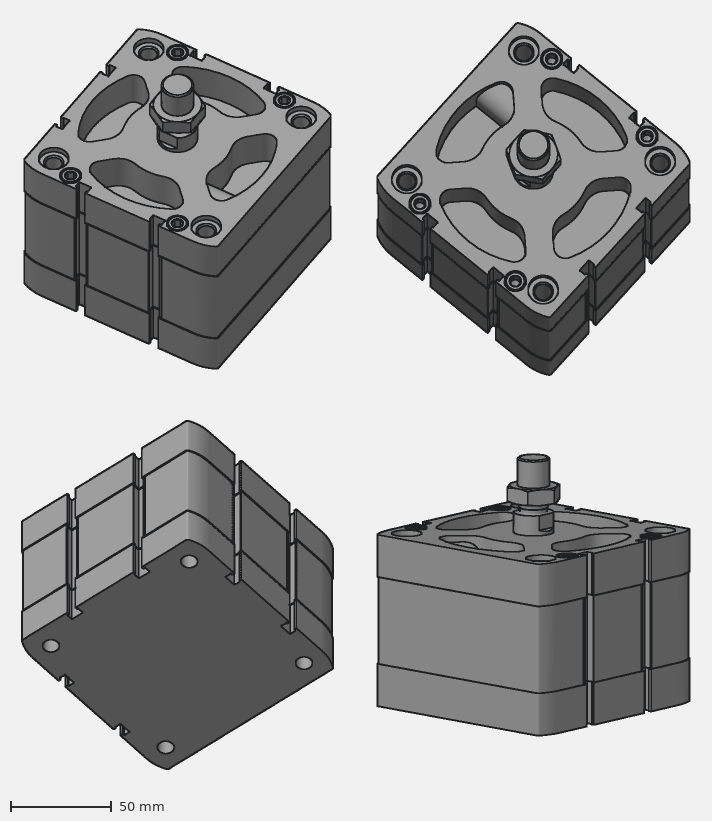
import cadquery as cq
import math

BLOCK_SIDE = 113.5
BLOCK_HEIGHT = 87.0
CAP_HEIGHT = 21.5
BARREL_INSET = 0.5
CORNER_RADIUS = 25.0
CORNER_REACH = 12.5
CORNER_EDGE_FILLET = 1.5

SLOT_NECK_INNER = 18.7
SLOT_NECK_OUTER = 24.0
SLOT_INNER = 18.1
SLOT_OUTER = 25.1
SLOT_LIP = 1.5
SLOT_DEPTH = 5.0
SLOT_OVERSHOOT = 1.2
SLOTTED_SIDES = (0, 180, 270)

POCKET_OUTER_RADIUS = 49.4
POCKET_INNER_RADIUS = 27.7
POCKET_DEPTH = 19.3
WEB_WIDTH = 14.0
POCKET_OUTER_FILLET = 5.7
POCKET_INNER_FILLET = 11.0

BOSS_RADIUS = 8.0
BOSS_Y = -20.1
BOSS_TOP_DEPTH = 3.2

HOLE_SPACING = 89.1
HOLE_DIAMETER = 8.4
HOLE_MOUTH_DIAMETER = 10.0
COUNTERBORE_DIAMETER = 15.0
COUNTERBORE_DEPTH = 3.0

SCREW_SPACING_X = 62.4
SCREW_SPACING_Y = 100.3
SCREW_RECESS_DIAMETER = 10.7
SCREW_HEAD_DIAMETER = 10.0
SCREW_HEAD_CHAMFER = 0.5
SCREW_RECESS_DEPTH = 6.0
SOCKET_FLATS = 5.0
SOCKET_MOUTH_DIAMETER = 5.9
SOCKET_DEPTH = 5.0
SOCKET_TIP_DEPTH = 1.2

ROD_DIAMETER = 20.0
ROD_SHOULDER_Z = 97.1
ROD_TOP_Z = 124.8
NECK_DIAMETER = 13.5
NECK_TOP_Z = 99.5
NECK_FILLET = 0.5
THREAD_DIAMETER = 16.0
THREAD_ROOT_DIAMETER = 14.4
THREAD_CHAMFER_HEIGHT = 0.7
WRENCH_FLATS = 17.0
WRENCH_FLATS_Z = 89.7
WRENCH_LEDGE_DROP = 1.0

NUT_FLATS = 24.0
NUT_BOTTOM_Z = 102.7
NUT_HEIGHT = 8.0
NUT_CHAMFER_ANGLE = 20.0

half_side = BLOCK_SIDE / 2
cap_bottom_z = BLOCK_HEIGHT - CAP_HEIGHT
pocket_floor_z = BLOCK_HEIGHT - POCKET_DEPTH
corner_arc_x = half_side - CORNER_REACH
corner_arc_y = half_side - CORNER_RADIUS
corner_y = corner_arc_y + math.sqrt(CORNER_RADIUS**2 - CORNER_REACH**2)


def revolve_profile(points):
    """Solid of revolution about Z from (radius, z) points."""
    return cq.Workplane("XZ").polyline(points).close().revolve(360, (0, 0, 0), (0, 1, 0))


def hex_prism(flats, bottom_z, height):
    """Hexagonal prism with two of its flats facing -X and +X."""
    corner_diameter = flats / math.cos(math.pi / 6)
    prism = cq.Workplane("XY").workplane(offset=bottom_z).polygon(6, corner_diameter).extrude(height)
    return prism.rotate((0, 0, 0), (0, 0, 1), 30)


def disc(diameter, bottom_z, height):
    return cq.Workplane("XY").workplane(offset=bottom_z).circle(diameter / 2).extrude(height)


def four_places(spacing_x, spacing_y):
    return [(x * spacing_x / 2, y * spacing_y / 2) for x in (-1, 1) for y in (-1, 1)]


def rounded_column():
    """Full-height block whose Y sides bend into the X sides through large arcs."""
    middle_angle = (math.acos(CORNER_REACH / CORNER_RADIUS) + math.pi / 2) / 2
    middle_x = corner_arc_x + CORNER_RADIUS * math.cos(middle_angle)
    middle_y = corner_arc_y + CORNER_RADIUS * math.sin(middle_angle)
    column = (
        cq.Workplane("XY")
        .moveTo(-corner_arc_x, half_side)
        .lineTo(corner_arc_x, half_side)
        .threePointArc((middle_x, middle_y), (half_side, corner_y))
        .lineTo(half_side, -corner_y)
        .threePointArc((middle_x, -middle_y), (corner_arc_x, -half_side))
        .lineTo(-corner_arc_x, -half_side)
        .threePointArc((-middle_x, -middle_y), (-half_side, -corner_y))
        .lineTo(-half_side, corner_y)
        .threePointArc((-middle_x, middle_y), (-corner_arc_x, half_side))
        .close()
        .extrude(BLOCK_HEIGHT)
    )
    for x, y in four_places(BLOCK_SIDE, 2 * corner_y):
        sharp_edge = cq.NearestToPointSelector((x, y, BLOCK_HEIGHT / 2))
        column = column.edges(sharp_edge).fillet(CORNER_EDGE_FILLET)
    return column


def slot_cutter(direction):
    """T-slot in the -Y side, to the left (-1) or right (+1) of its middle."""
    opening_y = -half_side - SLOT_OVERSHOOT
    lip_y = -half_side + SLOT_LIP
    floor_y = -half_side + SLOT_DEPTH
    return (
        cq.Workplane("XY")
        .moveTo(direction * SLOT_NECK_INNER, opening_y)
        .lineTo(direction * SLOT_NECK_INNER, lip_y)
        .lineTo(direction * SLOT_INNER, lip_y)
        .lineTo(direction * SLOT_INNER, floor_y)
        .lineTo(direction * SLOT_OUTER, floor_y)
        .lineTo(direction * SLOT_OUTER, lip_y)
        .lineTo(direction * SLOT_NECK_OUTER, lip_y)
        .lineTo(direction * SLOT_NECK_OUTER, opening_y)
        .close()
        .extrude(BLOCK_HEIGHT)
    )


def make_block():
    """Slotted end caps, and between them a barrel whose outline is inset all round."""
    column = rounded_column()
    for angle in SLOTTED_SIDES:
        for direction in (-1, 1):
            column = column.cut(slot_cutter(direction).rotate((0, 0, 0), (0, 0, 1), angle))
    outline = column.faces("<Z").wires().val()
    outline_sketch = cq.Workplane("XY").add(outline).toPending()
    cap = outline_sketch.extrude(CAP_HEIGHT)
    inset_sketch = cq.Workplane("XY").add(outline).toPending().offset2D(-BARREL_INSET, "intersection")
    barrel = inset_sketch.extrude(BLOCK_HEIGHT)
    return barrel.union(cap).union(cap.translate((0, 0, cap_bottom_z)))


def fillet_upright_edges(body, least_radius, greatest_radius, fillet):
    """Round the vertical edges that lie between two distances from the Z axis."""
    chosen = [
        edge
        for edge in body.edges("|Z").vals()
        if least_radius < math.hypot(edge.Center().x, edge.Center().y) < greatest_radius
    ]
    return body.newObject(chosen).fillet(fillet)


def pocket_cutter():
    """Pocket on the +X side: a ring sector between two 45 degree webs, with rounded corners."""
    wedge_tip_x = WEB_WIDTH / math.sqrt(2)
    wedge_half_width = BLOCK_SIDE - wedge_tip_x
    wedge = (
        cq.Workplane("XY")
        .workplane(offset=pocket_floor_z)
        .polyline([(wedge_tip_x, 0), (BLOCK_SIDE, wedge_half_width), (BLOCK_SIDE, -wedge_half_width)])
        .close()
        .extrude(POCKET_DEPTH)
    )
    ring = disc(2 * POCKET_OUTER_RADIUS, pocket_floor_z, POCKET_DEPTH)
    ring = ring.cut(disc(2 * POCKET_INNER_RADIUS, pocket_floor_z, POCKET_DEPTH))
    sector = ring.intersect(wedge)
    middle_radius = (POCKET_INNER_RADIUS + POCKET_OUTER_RADIUS) / 2
    sector = fillet_upright_edges(sector, middle_radius, half_side, POCKET_OUTER_FILLET)
    return fillet_upright_edges(sector, 0, middle_radius, POCKET_INNER_FILLET)


def port_boss():
    """Bar along X with a rounded +Y shoulder, standing on the pocket floor."""
    top_z = BLOCK_HEIGHT - BOSS_TOP_DEPTH
    return (
        cq.Workplane("YZ")
        .moveTo(-half_side, pocket_floor_z)
        .lineTo(BOSS_Y + BOSS_RADIUS, pocket_floor_z)
        .lineTo(BOSS_Y + BOSS_RADIUS, top_z - BOSS_RADIUS)
        .radiusArc((BOSS_Y, top_z), -BOSS_RADIUS)
        .lineTo(-half_side, top_z)
        .close()
        .extrude(half_side)
    )


def mounting_hole_cutter():
    """Through hole with a chamfered mouth at the floor of a counterbore."""
    hole_radius = HOLE_DIAMETER / 2
    mouth_radius = HOLE_MOUTH_DIAMETER / 2
    counterbore_radius = COUNTERBORE_DIAMETER / 2
    counterbore_z = BLOCK_HEIGHT - COUNTERBORE_DEPTH
    chamfer_z = counterbore_z - (mouth_radius - hole_radius)
    return revolve_profile(
        [
            (0, 0),
            (hole_radius, 0),
            (hole_radius, chamfer_z),
            (mouth_radius, counterbore_z),
            (counterbore_radius, counterbore_z),
            (counterbore_radius, BLOCK_HEIGHT),
            (0, BLOCK_HEIGHT),
        ]
    )


def screw_cutter():
    """Ring gap around a flush screw head, and its hexagonal socket with a conical bottom."""
    recess_z = BLOCK_HEIGHT - SCREW_RECESS_DEPTH
    recess = disc(SCREW_RECESS_DIAMETER, recess_z, SCREW_RECESS_DEPTH)
    head = disc(SCREW_HEAD_DIAMETER, recess_z, SCREW_RECESS_DEPTH)
    head = head.faces(">Z").edges().chamfer(SCREW_HEAD_CHAMFER)
    socket_z = BLOCK_HEIGHT - SOCKET_DEPTH
    socket = hex_prism(SOCKET_FLATS, socket_z, SOCKET_DEPTH)
    tip = revolve_profile([(0, socket_z - SOCKET_TIP_DEPTH), (SOCKET_FLATS / 2, socket_z), (0, socket_z)])
    mouth_radius = SOCKET_MOUTH_DIAMETER / 2
    mouth_tip_z = BLOCK_HEIGHT - mouth_radius
    mouth = revolve_profile([(0, mouth_tip_z), (mouth_radius, BLOCK_HEIGHT), (0, BLOCK_HEIGHT)])
    return recess.cut(head).union(socket).union(tip).union(mouth)


def make_housing():
    housing = make_block()
    for angle in (90, 180, 270):
        housing = housing.cut(pocket_cutter().rotate((0, 0, 0), (0, 0, 1), angle))
    housing = housing.cut(pocket_cutter().cut(port_boss()))
    for x, y in four_places(HOLE_SPACING, HOLE_SPACING):
        housing = housing.cut(mounting_hole_cutter().translate((x, y, 0)))
    for x, y in four_places(SCREW_SPACING_X, SCREW_SPACING_Y):
        housing = housing.cut(screw_cutter().translate((x, y, 0)))
    rod_bore = disc(ROD_DIAMETER, cap_bottom_z, CAP_HEIGHT)
    return housing.cut(rod_bore)


def wrench_flat_cutter():
    """Removes the +Y flat, leaving a ledge that slopes down outwards."""
    flat_y = WRENCH_FLATS / 2
    rod_radius = ROD_DIAMETER / 2
    return (
        cq.Workplane("YZ")
        .moveTo(flat_y, WRENCH_FLATS_Z)
        .lineTo(rod_radius, WRENCH_FLATS_Z - WRENCH_LEDGE_DROP)
        .lineTo(rod_radius, ROD_SHOULDER_Z)
        .lineTo(flat_y, ROD_SHOULDER_Z)
        .close()
        .extrude(rod_radius, both=True)
    )


def make_rod():
    """Rod seated in the top cap, with a neck, a thread run-out and a threaded end."""
    rod_radius = ROD_DIAMETER / 2
    neck_radius = NECK_DIAMETER / 2
    thread_radius = THREAD_DIAMETER / 2
    root_radius = THREAD_ROOT_DIAMETER / 2
    runout_height = NUT_BOTTOM_Z - NECK_TOP_Z
    runout_depth = thread_radius - root_radius
    runout_curve = (runout_height**2 + runout_depth**2) / (2 * runout_depth)
    rod = (
        cq.Workplane("XZ")
        .moveTo(0, cap_bottom_z)
        .lineTo(rod_radius, cap_bottom_z)
        .lineTo(rod_radius, ROD_SHOULDER_Z)
        .lineTo(neck_radius + NECK_FILLET, ROD_SHOULDER_Z)
        .radiusArc((neck_radius, ROD_SHOULDER_Z + NECK_FILLET), NECK_FILLET)
        .lineTo(neck_radius, NECK_TOP_Z)
        .lineTo(root_radius, NECK_TOP_Z)
        .radiusArc((thread_radius, NUT_BOTTOM_Z), runout_curve)
        .lineTo(thread_radius, ROD_TOP_Z - THREAD_CHAMFER_HEIGHT)
        .lineTo(root_radius, ROD_TOP_Z)
        .lineTo(0, ROD_TOP_Z)
        .close()
        .revolve(360, (0, 0, 0), (0, 1, 0))
    )
    for angle in (0, 180):
        rod = rod.cut(wrench_flat_cutter().rotate((0, 0, 0), (0, 0, 1), angle))
    return rod


def make_nut():
    """Hexagonal nut with conical chamfers on both faces and a plain bore for the thread."""
    flat_radius = NUT_FLATS / 2
    corner_radius = flat_radius / math.cos(math.pi / 6)
    chamfer_height = (corner_radius - flat_radius) * math.tan(math.radians(NUT_CHAMFER_ANGLE))
    top_z = NUT_BOTTOM_Z + NUT_HEIGHT
    chamfer_envelope = revolve_profile(
        [
            (0, NUT_BOTTOM_Z),
            (flat_radius, NUT_BOTTOM_Z),
            (corner_radius, NUT_BOTTOM_Z + chamfer_height),
            (corner_radius, top_z - chamfer_height),
            (flat_radius, top_z),
            (0, top_z),
        ]
    )
    nut = hex_prism(NUT_FLATS, NUT_BOTTOM_Z, NUT_HEIGHT).intersect(chamfer_envelope)
    return nut.cut(disc(THREAD_DIAMETER, NUT_BOTTOM_Z, NUT_HEIGHT))


housing = make_housing()
piston_rod = make_rod()
nut = make_nut()
result = cq.Compound.makeCompound([housing.val(), piston_rod.val(), nut.val()])